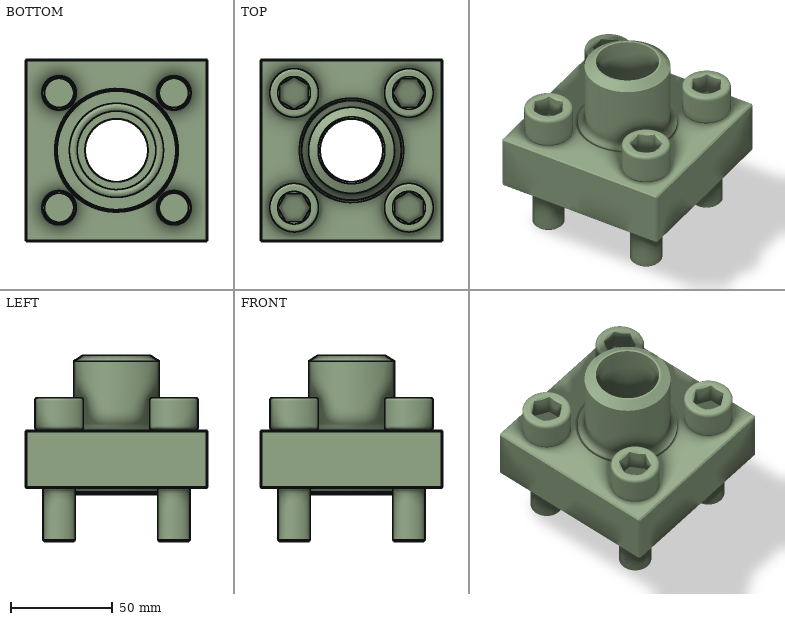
import cadquery as cq
import math

SCREW_LENGTH = 55.0
FLANGE_THICKNESS = 28.8
NIPPLE_TOP = 92.0
FACE_PROTRUSION = 2.5

FLANGE_TOP = SCREW_LENGTH
FLANGE_BOTTOM = FLANGE_TOP - FLANGE_THICKNESS
SEALING_FACE = FLANGE_BOTTOM - FACE_PROTRUSION

FLANGE_SIDE = 90.0
FLANGE_CHAMFER = 0.7
BOLT_CIRCLE_DIA = 80.0
BOLT_ANGLES = (45, 135, 225, 315)
SCREW_HOLE_DIA = 17.0
NECK_HOLE_DIA = 49.5
NECK_HOLE_CHAMFER = 1.0
COLLAR_RECESS_DIA = 61.0
COLLAR_RECESS_DEPTH = 13.8

TUBE_DIA = 42.4
TUBE_TIP_DIA = 33.0
BEVEL_HEIGHT = 3.0
NECK_DIA = 49.0
COLLAR_DIA = 60.0
COLLAR_CHAMFER = 0.7
UPPER_BORE_DIA = 31.2
LOWER_BORE_DIA = 31.0
UPPER_BORE_DEPTH = 19.0
NECK_FILLET = (NECK_DIA - TUBE_DIA) / 2
COLLAR_TOP = FLANGE_BOTTOM + COLLAR_RECESS_DEPTH

GROOVE_INNER_DIA = 38.7
GROOVE_OUTER_DIA = 46.5
SEAL_PROTRUSION = 0.69
SEAL_SECTION_DIA = (GROOVE_OUTER_DIA - GROOVE_INNER_DIA) / 2
SEAL_CENTRE_RADIUS = (GROOVE_OUTER_DIA + GROOVE_INNER_DIA) / 4
GROOVE_DEPTH = SEAL_SECTION_DIA - SEAL_PROTRUSION

SHANK_DIA = 16.0
SHANK_CHAMFER = 0.8
HEAD_DIA = 24.0
HEAD_HEIGHT = SHANK_DIA
HEAD_FILLET = 1.6
SOCKET_FLATS = 14.0
SOCKET_CORNERS = SOCKET_FLATS / math.cos(math.radians(30))
SOCKET_DEPTH = 11.0
SOCKET_MOUTH_DEPTH = 0.6


def cylinder(diameter, bottom, top):
    return cq.Workplane("XY", origin=(0, 0, bottom)).circle(diameter / 2).extrude(top - bottom)


def make_flange():
    block = cq.Workplane("XY", origin=(0, 0, FLANGE_BOTTOM)).rect(FLANGE_SIDE, FLANGE_SIDE)
    block = block.extrude(FLANGE_THICKNESS).edges().chamfer(FLANGE_CHAMFER)

    block = block.cut(cylinder(NECK_HOLE_DIA, FLANGE_BOTTOM, FLANGE_TOP))
    block = block.faces(">Z").edges("%CIRCLE").chamfer(NECK_HOLE_CHAMFER)

    collar_recess = cylinder(COLLAR_RECESS_DIA, FLANGE_BOTTOM, COLLAR_TOP)
    screw_holes = (
        cq.Workplane("XY", origin=(0, 0, FLANGE_BOTTOM))
        .polarArray(BOLT_CIRCLE_DIA / 2, BOLT_ANGLES[0], 360, len(BOLT_ANGLES))
        .circle(SCREW_HOLE_DIA / 2)
        .extrude(FLANGE_THICKNESS)
    )
    return block.cut(collar_recess).cut(screw_holes)


def make_nipple():
    tube_radius = TUBE_DIA / 2
    neck_radius = NECK_DIA / 2
    collar_radius = COLLAR_DIA / 2
    arc_shift = NECK_FILLET * (1 - math.sqrt(0.5))
    profile = (
        cq.Workplane("XZ")
        .moveTo(LOWER_BORE_DIA / 2, SEALING_FACE)
        .lineTo(collar_radius - COLLAR_CHAMFER, SEALING_FACE)
        .lineTo(collar_radius, SEALING_FACE + COLLAR_CHAMFER)
        .lineTo(collar_radius, COLLAR_TOP)
        .lineTo(neck_radius, COLLAR_TOP)
        .lineTo(neck_radius, FLANGE_TOP)
        .threePointArc(
            (tube_radius + arc_shift, FLANGE_TOP + arc_shift),
            (tube_radius, FLANGE_TOP + NECK_FILLET),
        )
        .lineTo(tube_radius, NIPPLE_TOP - BEVEL_HEIGHT)
        .lineTo(TUBE_TIP_DIA / 2, NIPPLE_TOP)
        .lineTo(UPPER_BORE_DIA / 2, NIPPLE_TOP)
        .lineTo(UPPER_BORE_DIA / 2, NIPPLE_TOP - UPPER_BORE_DEPTH)
        .close()
    )
    body = profile.revolve(360, (0, 0, 0), (0, 1, 0))

    groove_top = SEALING_FACE + GROOVE_DEPTH
    groove = cylinder(GROOVE_OUTER_DIA, SEALING_FACE, groove_top)
    groove = groove.cut(cylinder(GROOVE_INNER_DIA, SEALING_FACE, groove_top))
    return body.cut(groove)


def make_seal():
    centre_height = SEALING_FACE - SEAL_PROTRUSION + SEAL_SECTION_DIA / 2
    return (
        cq.Workplane("XZ")
        .center(SEAL_CENTRE_RADIUS, centre_height)
        .circle(SEAL_SECTION_DIA / 2)
        .revolve(360, (-SEAL_CENTRE_RADIUS, 0, 0), (-SEAL_CENTRE_RADIUS, 1, 0))
    )


def make_screw(angle):
    """One screw on the bolt circle, with its socket turned along with it."""
    head_top = SCREW_LENGTH + HEAD_HEIGHT
    head = cylinder(HEAD_DIA, SCREW_LENGTH, head_top).edges().fillet(HEAD_FILLET)
    shank = cylinder(SHANK_DIA, 0, SCREW_LENGTH).faces("<Z").chamfer(SHANK_CHAMFER)
    socket = (
        cq.Workplane("XY", origin=(0, 0, head_top - SOCKET_DEPTH))
        .polygon(6, SOCKET_CORNERS)
        .extrude(SOCKET_DEPTH)
    )
    mouth = (
        cq.Workplane("XY", origin=(0, 0, head_top))
        .circle(SOCKET_CORNERS / 2)
        .workplane(offset=-SOCKET_MOUTH_DEPTH)
        .circle(SOCKET_FLATS / 2)
        .loft()
    )
    screw = head.union(shank).cut(socket).cut(mouth)
    turned = screw.rotate((0, 0, 0), (0, 0, 1), angle - BOLT_ANGLES[0])
    bolt_radius = BOLT_CIRCLE_DIA / 2
    bolt_angle = math.radians(angle)
    return turned.translate((bolt_radius * math.cos(bolt_angle), bolt_radius * math.sin(bolt_angle), 0))


flange = make_flange()
nipple = make_nipple()
seal = make_seal()
screws = [make_screw(angle) for angle in BOLT_ANGLES]

result = cq.Compound.makeCompound(
    [flange.val(), nipple.val(), seal.val(), *[screw.val() for screw in screws]]
)